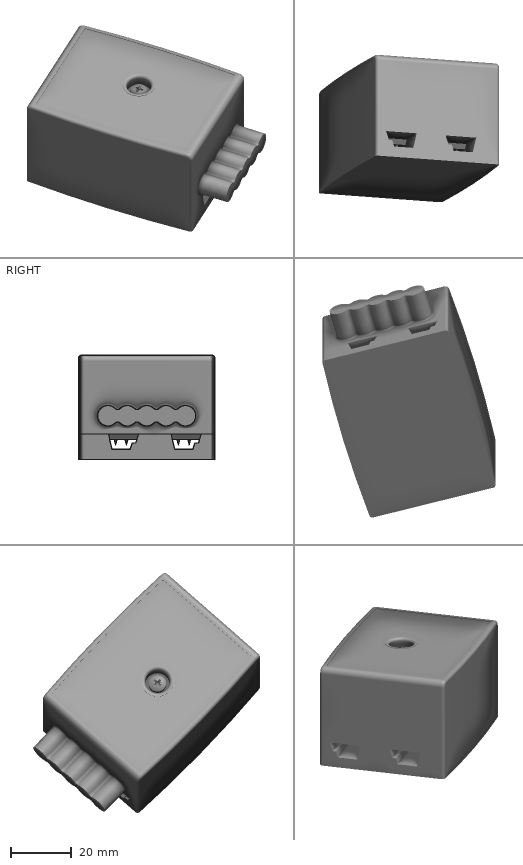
import cadquery as cq
import math

LENGTH = 60.0
END_WIDTH = 43.0
MID_WIDTH = 45.0
HEIGHT = 34.5
PARTING_Z = 8.5
END_TOP_RADIUS = 2.0
SIDE_RADIUS = 1.0

PANEL_MARGIN = 0.75
PANEL_CORNER_RADIUS = 0.7
PANEL_DEPTH = 0.2
PANEL_ISLAND_DIAMETER = 10.67

SCREW_Y = 2.7
WELL_DIAMETER = 8.0
WELL_RIM_RADIUS = 1.0
WELL_DEPTH = 3.8
HEAD_DIAMETER = 5.7
HEAD_SIDE_HEIGHT = 1.35
HEAD_DOME_HEIGHT = 0.7
SHANK_DIAMETER = 3.0
SHANK_TIP_Z = 3.0
DRIVE_SPAN = 3.5
DRIVE_WIDTH = 0.8
DRIVE_DEPTH = 1.3
TICK_ANGLE = 45.0
TICK_SPAN = 2.9
TICK_WIDTH = 0.1
TICK_DEPTH = 0.3

TUBE_COUNT = 5
TUBE_PITCH = 6.4
TUBE_RADIUS = 3.45
TUBE_LENGTH = 10.0
TUBE_Z = 14.5
TUBE_DRAFT = 0.5
VALLEY_RADIUS = 1.0
ROOT_RADIUS = 0.5

CHANNEL_CORNERS_Y = (18.0, -2.7)
CHANNEL_TOP_WIDTH = 10.6
CHANNEL_DEPTH = 5.0
STEP_DEPTH = 2.95
STEP_OUTER_INSET = 0.95
STEP_INNER_INSET = 2.15
FLOOR_START = 2.8
FLOOR_END = 9.4
CHANNEL_NARROWING = 0.65

CLAMP_DEPTH = 1.85
CLAMP_THICKNESS = 3.0
CLAMP_END_GAP = 10.0
TOOTH_INSETS = (4.0, 7.57)
TOOTH_DIAMETER = 0.95
TOOTH_LENGTH = 1.8

EDGE_TOLERANCE = 0.01

well_floor_z = HEIGHT - WELL_DEPTH
head_top_z = well_floor_z + HEAD_SIDE_HEIGHT + HEAD_DOME_HEIGHT


def bowed_plan(z, end_inset=0.0, side_inset=0.0):
    """Rectangle in plan with its two long sides bowed outward."""
    half_x = LENGTH / 2 - end_inset
    half_mid = MID_WIDTH / 2 - side_inset
    bow = (MID_WIDTH - END_WIDTH) / 2
    half_end = half_mid - bow * (half_x / (LENGTH / 2)) ** 2
    return (
        cq.Workplane("XY", origin=(0, 0, z))
        .moveTo(-half_x, -half_end)
        .threePointArc((0, -half_mid), (half_x, -half_end))
        .lineTo(half_x, half_end)
        .threePointArc((0, half_mid), (-half_x, half_end))
        .close()
    )


def cylinder(diameter, bottom_z, top_z):
    """Upright cylinder on the screw axis."""
    return (
        cq.Workplane("XY", origin=(0, SCREW_Y, bottom_z))
        .circle(diameter / 2)
        .extrude(top_z - bottom_z)
    )


def housing_block():
    """Outer shape of base and cover together."""
    block = bowed_plan(0).extrude(HEIGHT)
    block = block.faces(">Z").edges("|Y").fillet(END_TOP_RADIUS)
    return block.faces("<Y or >Y").edges("not <Z").fillet(SIDE_RADIUS)


def slab(bottom_z, top_z):
    """Block wider than the housing that keeps one height range of it."""
    return (
        cq.Workplane("XY", origin=(0, 0, bottom_z))
        .rect(2 * LENGTH, 2 * MID_WIDTH)
        .extrude(top_z - bottom_z)
    )


def channel(corner_y):
    """Stepped cable channel along X whose -Y wall closes in toward +X."""

    def section(shift):
        depths = (
            (0, 0),
            (STEP_OUTER_INSET, STEP_DEPTH),
            (STEP_INNER_INSET, STEP_DEPTH),
            (FLOOR_START, CHANNEL_DEPTH),
            (FLOOR_END - shift, CHANNEL_DEPTH),
            (CHANNEL_TOP_WIDTH - shift, 0),
        )
        return [(corner_y - inset, PARTING_Z - depth) for inset, depth in depths]

    return (
        cq.Workplane("YZ", origin=(-LENGTH / 2, 0, 0))
        .polyline(section(0))
        .close()
        .workplane(offset=LENGTH)
        .polyline(section(CHANNEL_NARROWING))
        .close()
        .loft(ruled=True, combine=True)
    )


def clamp(corner_y):
    """Bar that fills the top of a channel and carries two pointed teeth."""
    bar_x = -LENGTH / 2 + CLAMP_END_GAP + CLAMP_THICKNESS / 2
    bar_z = PARTING_Z - CLAMP_DEPTH
    bar = channel(corner_y).intersect(
        cq.Workplane("XY", origin=(bar_x, 0, bar_z))
        .rect(CLAMP_THICKNESS, MID_WIDTH)
        .extrude(CLAMP_DEPTH)
    )
    for inset in TOOTH_INSETS:
        tooth = cq.Solid.makeCone(
            TOOTH_DIAMETER / 2,
            0,
            TOOTH_LENGTH,
            pnt=cq.Vector(bar_x, corner_y - inset, bar_z),
            dir=cq.Vector(0, 0, -1),
        )
        bar = bar.union(cq.Workplane(tooth))
    return bar


def tube_row():
    """Row of tubes merged side by side, with rounded valleys between them."""
    reach = TUBE_RADIUS + VALLEY_RADIUS
    half_pitch = TUBE_PITCH / 2
    valley_center = math.sqrt(reach**2 - half_pitch**2)
    touch = TUBE_RADIUS / reach
    touch_y = half_pitch * touch
    touch_z = valley_center * touch
    valley_z = valley_center - VALLEY_RADIUS
    last_y = TUBE_PITCH * (TUBE_COUNT - 1) / 2

    outline = cq.Workplane("YZ", origin=(LENGTH / 2, 0, TUBE_Z)).moveTo(touch_y - last_y, touch_z)
    for turn in (1, -1):
        for index in range(TUBE_COUNT - 1):
            next_y = (index + 1) * TUBE_PITCH - last_y
            outline = outline.threePointArc(
                (turn * (next_y - half_pitch), turn * valley_z),
                (turn * (next_y - touch_y), turn * touch_z),
            )
            if next_y < last_y:
                outline = outline.threePointArc(
                    (turn * next_y, turn * TUBE_RADIUS),
                    (turn * (next_y + touch_y), turn * touch_z),
                )
        outline = outline.threePointArc(
            (turn * (last_y + TUBE_RADIUS), 0),
            (turn * (last_y - touch_y), -turn * touch_z),
        )
    return outline.close().extrude(TUBE_LENGTH, taper=TUBE_DRAFT)


def top_panel():
    """Sunken panel of the top face, leaving an island around the screw well."""
    panel = (
        bowed_plan(HEIGHT - PANEL_DEPTH, END_TOP_RADIUS + PANEL_MARGIN, SIDE_RADIUS + PANEL_MARGIN)
        .extrude(PANEL_DEPTH)
        .edges("|Z")
        .fillet(PANEL_CORNER_RADIUS)
    )
    return panel.cut(cylinder(PANEL_ISLAND_DIAMETER, HEIGHT - PANEL_DEPTH, HEIGHT))


def cross_arm():
    """One slot of the cross recess, sloping at both ends to a narrow floor."""
    floor_z = head_top_z - DRIVE_DEPTH
    return (
        cq.Workplane("XZ", origin=(0, SCREW_Y + DRIVE_WIDTH / 2, floor_z))
        .polyline([
            (-DRIVE_WIDTH / 2, 0),
            (DRIVE_WIDTH / 2, 0),
            (DRIVE_SPAN / 2, DRIVE_DEPTH),
            (-DRIVE_SPAN / 2, DRIVE_DEPTH),
        ])
        .close()
        .extrude(DRIVE_WIDTH)
    )


def tick_groove():
    """Fine straight groove across the crown of the head."""
    return (
        cq.Workplane("XY", origin=(0, SCREW_Y, head_top_z))
        .rect(TICK_SPAN, TICK_WIDTH)
        .extrude(-TICK_DEPTH)
    )


def make_screw():
    """Dome-headed screw with a cross recess, tick marks and a plain shank."""
    rise = HEAD_DOME_HEIGHT
    dome_radius = ((HEAD_DIAMETER / 2) ** 2 + rise**2) / (2 * rise)
    ball = cq.Workplane("XY", origin=(0, SCREW_Y, head_top_z - dome_radius)).sphere(dome_radius)
    body = cylinder(HEAD_DIAMETER, well_floor_z, head_top_z).intersect(ball)
    body = body.union(cylinder(SHANK_DIAMETER, SHANK_TIP_Z, well_floor_z))
    axis = ((0, SCREW_Y, 0), (0, SCREW_Y, 1))
    for angle in (0, 90):
        body = body.cut(cross_arm().rotate(*axis, angle))
        body = body.cut(tick_groove().rotate(*axis, angle + TICK_ANGLE))
    return body


def edges_inside(shape, corner, opposite):
    """Edges whose centers lie in the box between two corners."""
    return shape.edges(cq.selectors.BoxSelector(corner, opposite))


def make_base(block):
    """Lower tray with the cable channels and the screw's pilot hole."""
    body = block.intersect(slab(0, PARTING_Z))
    for corner_y in CHANNEL_CORNERS_Y:
        body = body.cut(channel(corner_y))
    return body.cut(cylinder(SHANK_DIAMETER, SHANK_TIP_Z, PARTING_Z))


def make_cover(block):
    """Upper shell with the tubes, the screw well, the panel and the clamps."""
    body = block.intersect(slab(PARTING_Z, HEIGHT)).union(tube_row())

    wall_x = LENGTH / 2
    row_half_width = TUBE_PITCH * TUBE_COUNT / 2
    body = edges_inside(
        body,
        (wall_x - EDGE_TOLERANCE, -row_half_width, TUBE_Z - TUBE_PITCH / 2),
        (wall_x + EDGE_TOLERANCE, row_half_width, TUBE_Z + TUBE_PITCH / 2),
    ).fillet(ROOT_RADIUS)

    body = body.cut(cylinder(WELL_DIAMETER, well_floor_z, HEIGHT))
    body = edges_inside(
        body,
        (-WELL_DIAMETER, SCREW_Y - WELL_DIAMETER, HEIGHT - EDGE_TOLERANCE),
        (WELL_DIAMETER, SCREW_Y + WELL_DIAMETER, HEIGHT + EDGE_TOLERANCE),
    ).fillet(WELL_RIM_RADIUS)
    body = body.cut(cylinder(SHANK_DIAMETER, PARTING_Z, well_floor_z))

    body = body.cut(top_panel())
    for corner_y in CHANNEL_CORNERS_Y:
        body = body.union(clamp(corner_y))
    return body


housing = housing_block()
base = make_base(housing)
cover = make_cover(housing)
screw = make_screw()

result = cq.Compound.makeCompound([base.val(), cover.val(), screw.val()])